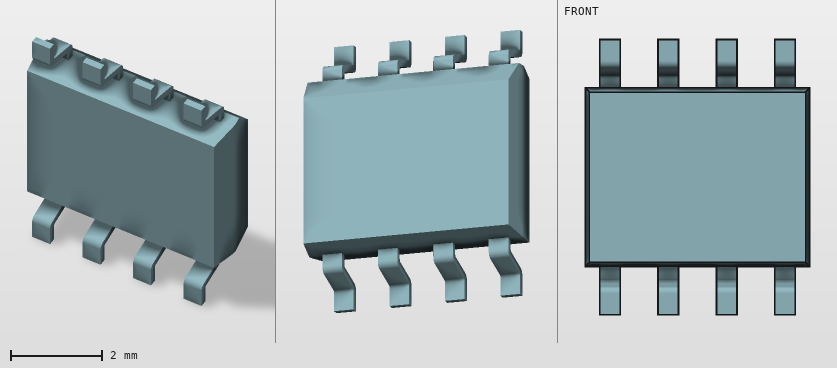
import cadquery as cq
import math

tip_span = 6.0
housing_width = 4.9
housing_height = 3.9
housing_depth = 1.47
standoff = 0.16

parting_band = 0.1
side_draft = 0.095
bevel = 0.505

lead_count = 4
lead_pitch = 1.27
lead_width = 0.45
lead_thickness = 0.16
foot_length = 0.575
leg_slope = math.radians(15)
inner_bend_radius = 0.06
outer_bend_radius = 0.145

housing_front = standoff
housing_back = standoff + housing_depth
housing_middle = (housing_front + housing_back) / 2
band_front = housing_middle - parting_band / 2
band_back = housing_middle + parting_band / 2


def make_housing():
    """Intersect the plan outline with the end outline, so that the drafted sides meet in mitres."""
    half_width = housing_width / 2
    half_height = housing_height / 2

    plan = (
        cq.Workplane("XY")
        .workplane(offset=-half_height)
        .moveTo(-half_width + side_draft, housing_front)
        .lineTo(half_width - side_draft, housing_front)
        .lineTo(half_width, band_front)
        .lineTo(half_width, band_back)
        .lineTo(half_width - side_draft, housing_back)
        .lineTo(-half_width + side_draft, housing_back)
        .lineTo(-half_width, band_back)
        .lineTo(-half_width, band_front)
        .close()
        .extrude(housing_height)
    )
    end = (
        cq.Workplane("YZ")
        .moveTo(housing_front, -half_height + side_draft)
        .lineTo(band_front, -half_height)
        .lineTo(band_back, -half_height)
        .lineTo(housing_back, -half_height + side_draft)
        .lineTo(housing_back, half_height - bevel)
        .lineTo(housing_back - bevel, half_height)
        .lineTo(band_front, half_height)
        .lineTo(housing_front, half_height - side_draft)
        .close()
        .extrude(half_width, both=True)
    )
    return plan.intersect(end).solids()


def make_upper_lead(x_center):
    """Bent lead on the +Z side, with its root reaching just below the housing surface."""
    shoulder_front = housing_middle - lead_thickness / 2
    shoulder_back = housing_middle + lead_thickness / 2
    tip_z = tip_span / 2
    root_z = housing_height / 2 - side_draft

    def leg_lower_z(y):
        return tip_z - foot_length - y * math.tan(leg_slope)

    def leg_upper_z(y):
        return leg_lower_z(y) + lead_thickness / math.cos(leg_slope)

    sole_corner = (0, leg_lower_z(0))
    shoulder_inner_corner = (shoulder_front, leg_lower_z(shoulder_front))
    shoulder_outer_corner = (shoulder_back, leg_upper_z(shoulder_back))
    foot_inner_corner = (lead_thickness, leg_upper_z(lead_thickness))

    lead = (
        cq.Workplane("YZ")
        .workplane(offset=x_center - lead_width / 2)
        .moveTo(0, tip_z)
        .lineTo(*sole_corner)
        .lineTo(*shoulder_inner_corner)
        .lineTo(shoulder_front, root_z)
        .lineTo(shoulder_back, root_z)
        .lineTo(*shoulder_outer_corner)
        .lineTo(*foot_inner_corner)
        .lineTo(lead_thickness, tip_z)
        .close()
        .extrude(lead_width)
    )
    bends = [
        (sole_corner, outer_bend_radius),
        (shoulder_inner_corner, inner_bend_radius),
        (shoulder_outer_corner, outer_bend_radius),
        (foot_inner_corner, inner_bend_radius),
    ]
    for (y, z), radius in bends:
        bend_edge = cq.selectors.NearestToPointSelector((x_center, y, z))
        lead = lead.edges("|X").edges(bend_edge).fillet(radius)
    return lead


def trim_to_housing(lead, housing):
    """Cut the root away, so that the lead butts against the housing surface."""
    return lead.cut(housing).solids().val()


housing = make_housing()

leads = []
for column in range(lead_count):
    x_center = (column - (lead_count - 1) / 2) * lead_pitch
    upper_lead = make_upper_lead(x_center)
    lower_lead = upper_lead.mirror("XY")
    leads.append(trim_to_housing(upper_lead, housing))
    leads.append(trim_to_housing(lower_lead, housing))

result = cq.Compound.makeCompound([housing.val(), *leads])